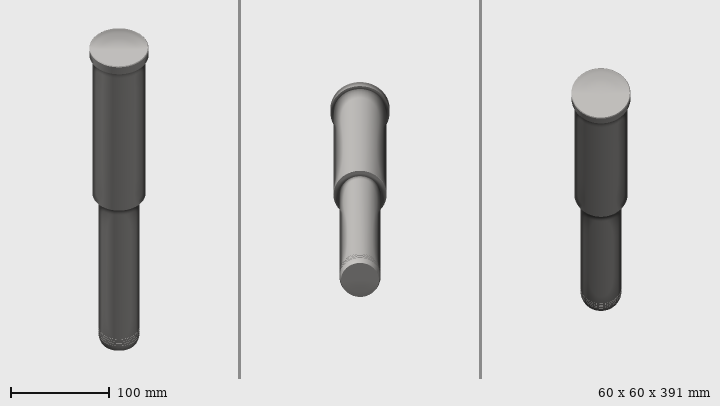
import cadquery as cq

total_length = 391.0

head_diameter = 60.0
head_height = 10.0
head_chamfer = 0.8
head_bottom_z = total_length - head_height

body_diameter = 54.0
body_end_z = 194.7
body_chamfer = 0.5

shaft_diameter = 42.0
tip_diameter = 38.5
tip_height = 8.0

groove_width = 0.8
groove_depth = 0.25

tip_groove_count = 4
tip_groove_pitch = 2.95


def cylinder(diameter, bottom, top):
    return cq.Workplane("XY").workplane(offset=bottom).circle(diameter / 2).extrude(top - bottom)


def make_head():
    head = cylinder(head_diameter, head_bottom_z, total_length)
    return head.faces(">Z").edges().chamfer(head_chamfer)


def make_tip():
    """Tip whose side is an arc leaving the shaft tangentially."""
    tip_radius = tip_diameter / 2
    shaft_radius = shaft_diameter / 2
    inset = shaft_radius - tip_radius
    arc_radius = (inset**2 + tip_height**2) / (2 * inset)
    return (
        cq.Workplane("XZ")
        .lineTo(tip_radius, 0)
        .radiusArc((shaft_radius, tip_height), -arc_radius)
        .lineTo(0, tip_height)
        .close()
        .revolve(360, (0, 0, 0), (0, 1, 0))
    )


def make_groove(diameter, bottom):
    """Ring to remove from a cylinder of the given diameter."""
    top = bottom + groove_width
    core = cylinder(diameter - 2 * groove_depth, bottom, top)
    return cylinder(diameter, bottom, top).cut(core)


body = cylinder(body_diameter, body_end_z, head_bottom_z)
body = body.faces("<Z").edges().chamfer(body_chamfer)
body = body.cut(make_groove(body_diameter, head_bottom_z - groove_width))

shaft = cylinder(shaft_diameter, tip_height, body_end_z)
shaft = shaft.cut(make_groove(shaft_diameter, body_end_z - groove_width))
for index in range(tip_groove_count):
    shaft = shaft.cut(make_groove(shaft_diameter, tip_height + index * tip_groove_pitch))

result = make_head().union(body).union(shaft).union(make_tip())